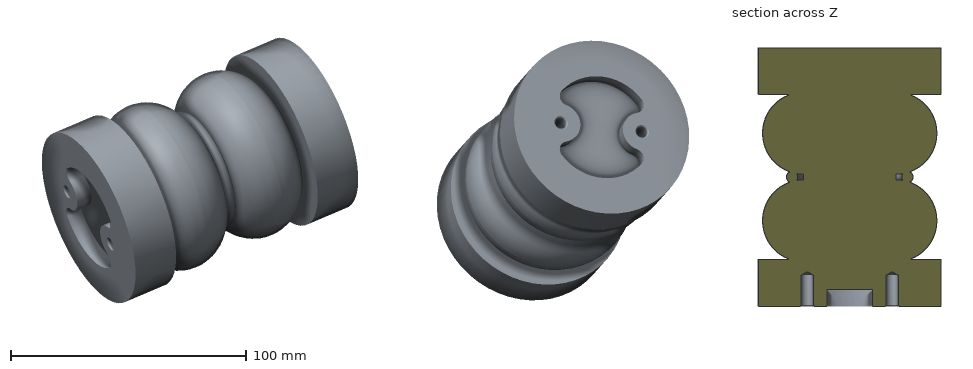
import cadquery as cq
import math

overall_length = 110.0
plate_diameter = 78.0
plate_thickness = 20.0

lobe_outer_diameter = 74.4
lobe_section_radius = 17.5
lobe_offset = 18.6

girdle_outer_diameter = 54.0
girdle_section_diameter = 5.0

recess_radius = 23.0
recess_depth = 7.0
recess_corner_radius = 4.0
hole_boss_radius = 8.6
hole_offset = 18.0
hole_diameter = 5.0
hole_mouth_diameter = 5.9
hole_depth = 13.2
drill_point_angle = 118.0

half_length = overall_length / 2
plate_inner_y = half_length - plate_thickness


def cylinder(radius, y_start, length, x=0.0):
    """Solid cylinder running from y_start towards +Y."""
    return cq.Workplane(cq.Solid.makeCylinder(radius, length, cq.Vector(x, y_start, 0), cq.Vector(0, 1, 0)))


def torus(outer_diameter, section_radius, y):
    """Ring of circular section around the Y axis."""
    centre_radius = outer_diameter / 2 - section_radius
    return cq.Workplane(
        cq.Solid.makeTorus(centre_radius, section_radius, cq.Vector(0, y, 0), cq.Vector(0, 1, 0))
    )


def make_bellows():
    """Two lobes and the girdle ring, trimmed to the space between the plates."""
    core_radius = lobe_outer_diameter / 2 - lobe_section_radius
    space_length = 2 * plate_inner_y
    bellows = cylinder(core_radius, -plate_inner_y, space_length)
    for side in (-1, 1):
        bellows = bellows.union(torus(lobe_outer_diameter, lobe_section_radius, side * lobe_offset))
    bellows = bellows.union(torus(girdle_outer_diameter, girdle_section_diameter / 2, 0))
    return bellows.intersect(cylinder(plate_diameter / 2, -plate_inner_y, space_length))


def make_recess():
    """Round recess that leaves a boss around each hole, with rounded corners."""
    recess = cylinder(recess_radius, -half_length, recess_depth)
    for side in (-1, 1):
        boss = cylinder(hole_boss_radius, -half_length, recess_depth, side * hole_offset)
        recess = recess.cut(boss)
    corner_x = (recess_radius**2 + hole_offset**2 - hole_boss_radius**2) / (2 * hole_offset)
    corner_z = math.sqrt(recess_radius**2 - corner_x**2)
    middle_y = -half_length + recess_depth / 2
    for x in (-corner_x, corner_x):
        for z in (-corner_z, corner_z):
            corner = cq.selectors.NearestToPointSelector((x, middle_y, z))
            recess = recess.edges("|Y").edges(corner).fillet(recess_corner_radius)
    return recess


def make_hole(x):
    """Blind drilled hole with a drill point and a chamfered mouth."""
    radius = hole_diameter / 2
    mouth_radius = hole_mouth_diameter / 2
    mouth_depth = mouth_radius - radius
    point_depth = radius / math.tan(math.radians(drill_point_angle / 2))
    bottom_y = -half_length + hole_depth
    profile = (
        cq.Workplane("XY")
        .moveTo(0, -half_length)
        .lineTo(mouth_radius, -half_length)
        .lineTo(radius, -half_length + mouth_depth)
        .lineTo(radius, bottom_y)
        .lineTo(0, bottom_y + point_depth)
        .close()
    )
    return profile.revolve(360, (0, 0), (0, 1)).translate((x, 0, 0))


result = make_bellows()
for plate_start in (-half_length, plate_inner_y):
    result = result.union(cylinder(plate_diameter / 2, plate_start, plate_thickness))
result = result.cut(make_recess())
for hole_x in (-hole_offset, hole_offset):
    result = result.cut(make_hole(hole_x))